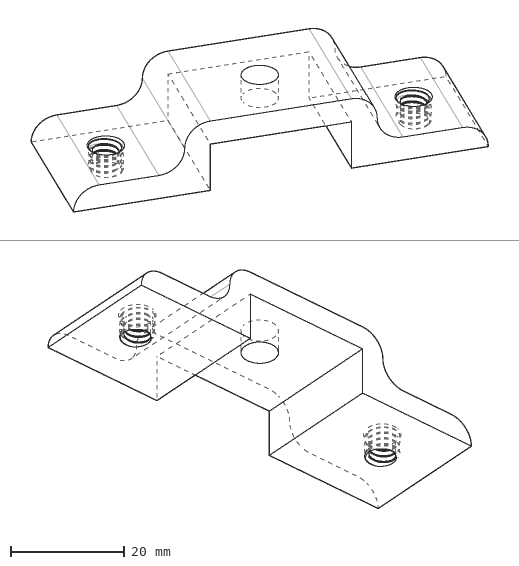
import cadquery as cq
import math

length = 76.7
width = 25.4
wall = 4.75
channel_half_width = 13.05
hole_offset = 28.5
clearance_diameter = 6.6
thread_major_diameter = 6.2
thread_minor_diameter = 4.75
thread_pitch = 1.2
groove_mouth_ratio = 0.875
groove_root_ratio = 0.125
groove_overlap = 0.1

half_length = length / 2
height = 3 * wall
outer_half_width = channel_half_width + wall
arc_inset = wall * (1 - math.sqrt(0.5))


def make_bracket():
    """Hat-shaped strap, extruded along X and centred on it."""
    bend_out = outer_half_width + wall
    return (
        cq.Workplane("YZ")
        .moveTo(-half_length, 0)
        .threePointArc((-half_length + arc_inset, wall - arc_inset), (-half_length + wall, wall))
        .lineTo(-bend_out, wall)
        .threePointArc((-outer_half_width - arc_inset, wall + arc_inset), (-outer_half_width, 2 * wall))
        .threePointArc((-outer_half_width + arc_inset, height - arc_inset), (-channel_half_width, height))
        .lineTo(channel_half_width, height)
        .threePointArc((outer_half_width - arc_inset, height - arc_inset), (outer_half_width, 2 * wall))
        .threePointArc((outer_half_width + arc_inset, wall + arc_inset), (bend_out, wall))
        .lineTo(half_length - wall, wall)
        .threePointArc((half_length - arc_inset, wall - arc_inset), (half_length, 0))
        .lineTo(channel_half_width, 0)
        .lineTo(channel_half_width, 2 * wall)
        .lineTo(-channel_half_width, 2 * wall)
        .lineTo(-channel_half_width, 0)
        .close()
        .extrude(width / 2, both=True)
    )


def make_thread_groove():
    """Helical V-groove that runs past both faces of a foot, around the Z axis."""
    overrun = thread_pitch
    minor_radius = thread_minor_diameter / 2
    major_radius = thread_major_diameter / 2
    inner_radius = minor_radius - groove_overlap
    mouth = thread_pitch * groove_mouth_ratio / 2
    root = thread_pitch * groove_root_ratio / 2
    path = cq.Wire.makeHelix(thread_pitch, wall + 2 * overrun, minor_radius)
    groove = (
        cq.Workplane("XZ")
        .polyline([(inner_radius, -mouth), (major_radius, -root), (major_radius, root), (inner_radius, mouth)])
        .close()
        .sweep(cq.Workplane(path), isFrenet=True)
    )
    return groove.translate((0, 0, -overrun))


def make_countersink():
    """Cone opening the top of a threaded hole to the clearance diameter."""
    top_radius = clearance_diameter / 2
    tip_radius = thread_minor_diameter / 2
    depth = top_radius - tip_radius
    return cq.Workplane("XY").add(
        cq.Solid.makeCone(tip_radius, top_radius, depth, pnt=cq.Vector(0, 0, wall - depth))
    )


result = make_bracket()

result = result.cut(cq.Workplane("XY").circle(clearance_diameter / 2).extrude(height))

thread_groove = make_thread_groove()
countersink = make_countersink()
for y in (-hole_offset, hole_offset):
    position = (0, y, 0)
    bore = cq.Workplane("XY").circle(thread_minor_diameter / 2).extrude(wall)
    for cutter in (countersink, thread_groove, bore):
        result = result.cut(cutter.translate(position))